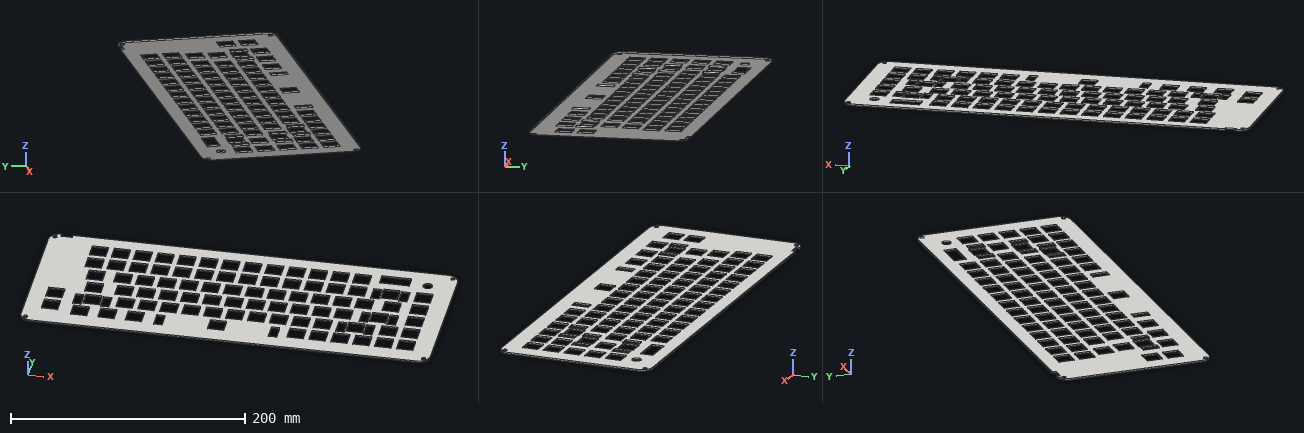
import cadquery as cq

plate_length = 356.5
plate_width = 139.0
plate_thickness = 1.5
corner_radius = 10.0

screw_hole_diameter = 3.4
screw_hole_inset = 5.0

notch_start = 10.0
notch_length = 9.5
notch_depth = 3.2

column_count = 16
last_column = column_count - 1
grid_length = 286.2
key_pitch = grid_length / last_column
first_column_x = -132.0
first_row_y = 49.2

switch_size = 14.0

stabilized_width = 2
space_bar_width = 6.25
stabilizer_width = 7.0
stabilizer_height = 14.5
stabilizer_drop = 1.5
wide_key_spread = 12.0
space_bar_spread = 50.0

window_length = 25.5
window_width = 11.0
window_column = 13.5
window_rise = 3.0
round_hole_diameter = 8.0

grid_left_edge = -0.5
key_rows = [
    [1] * 13,
    [1] * 13 + [2, 1],
    [1.5] + [1] * 12 + [1.5, 1],
    [1.75] + [1] * 11 + [2.25, 1],
    [2] + [1] * 10 + [2, 1, 1],
    [1.25] * 3 + [space_bar_width] + [1] * 6,
]

side_key_column = -1.25
side_key_rows = [3.75, 4.75]


def grid_point(column, row):
    """Centre of a key position on the plate."""
    return (first_column_x + column * key_pitch, first_row_y - row * key_pitch)


def main_keys():
    """Centre point and width, in key pitches, of every key in the main block."""
    keys = []
    for row, widths in enumerate(key_rows):
        left_edge = grid_left_edge
        for width in widths:
            keys.append((grid_point(left_edge + width / 2, row), width))
            left_edge += width
    return keys


def base_plate():
    return (
        cq.Workplane("XY")
        .box(plate_length, plate_width, plate_thickness)
        .edges("|Z")
        .fillet(corner_radius)
    )


def rectangular_openings(centres, length, width):
    return cq.Workplane("XY").pushPoints(centres).rect(length, width).extrude(plate_thickness, both=True)


def round_openings(centres, diameter):
    return cq.Workplane("XY").pushPoints(centres).circle(diameter / 2).extrude(plate_thickness, both=True)


def switch_openings():
    centres = [centre for centre, width in main_keys()]
    centres += [grid_point(side_key_column, row) for row in side_key_rows]
    return rectangular_openings(centres, switch_size, switch_size)


def stabilizer_openings():
    centres = []
    for (x, y), width in main_keys():
        if width < stabilized_width:
            continue
        spread = space_bar_spread if width == space_bar_width else wide_key_spread
        centres += [(x + side * spread, y - stabilizer_drop) for side in (-1, 1)]
    return rectangular_openings(centres, stabilizer_width, stabilizer_height)


def display_window():
    x, y = grid_point(window_column, 0)
    return rectangular_openings([(x, y + window_rise)], window_length, window_width)


def round_hole():
    return round_openings([grid_point(last_column, 0)], round_hole_diameter)


def screw_holes():
    x = plate_length / 2 - screw_hole_inset
    y = plate_width / 2 - screw_hole_inset
    return round_openings([(x, y), (-x, y), (x, -y), (-x, -y)], screw_hole_diameter)


def edge_notch():
    centre_x = -plate_length / 2 + notch_start + notch_length / 2
    return rectangular_openings([(centre_x, plate_width / 2)], notch_length, 2 * notch_depth)


result = (
    base_plate()
    .cut(switch_openings())
    .cut(stabilizer_openings())
    .cut(display_window())
    .cut(round_hole())
    .cut(screw_holes())
    .cut(edge_notch())
)